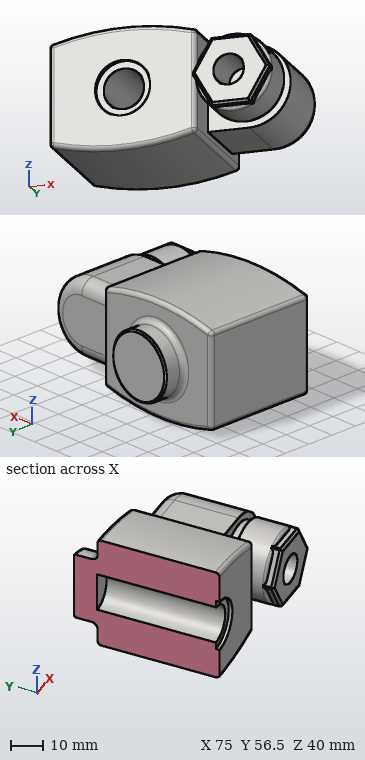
import cadquery as cq
import math

body_width = 48.0
body_depth = 42.0
body_height = 40.0
body_side_height = 33.15
body_fillet = 1.5

bore_diameter = 13.2
recess_diameter = 18.0
recess_depth = 1.3

boss_diameter = 24.0
boss_length = 8.0
boss_base_fillet = 2.0
boss_rim_chamfer = 0.6

housing_height = 27.0
housing_radius = housing_height / 2
housing_right = 75.0 - body_width / 2
housing_front = 11.55
housing_length = 27.0
housing_fillet = 5.0
axis_x = housing_right - housing_radius

neck_diameter = 22.0
neck_length = 3.1
gland_diameter = 25.0
gland_front = -3.75
gland_fillet = 1.0
hex_across_flats = 22.0
hex_across_corners = hex_across_flats / math.cos(math.radians(30))
hex_front = -6.45
hex_root_overlap = 1.0
hex_chamfer = 0.8
cable_hole_diameter = 10.0
cable_hole_offset = -0.5
cable_hole_depth = 15.0

selection_margin = 0.1


def cylinder_y(x, diameter, y_start, y_end):
    """Cylinder along Y, centred at (x, Z = 0)."""
    plane = cq.Plane(origin=(x, y_start, 0), xDir=(1, 0, 0), normal=(0, 1, 0))
    return cq.Workplane(plane).circle(diameter / 2).extrude(y_end - y_start)


def make_body():
    """Barrel-shaped block with rounded edges and a boss on the back."""
    half_width = body_width / 2
    half_side = body_side_height / 2
    half_height = body_height / 2
    block = (
        cq.Workplane("XZ")
        .moveTo(-half_width, -half_side)
        .threePointArc((0, -half_height), (half_width, -half_side))
        .lineTo(half_width, half_side)
        .threePointArc((0, half_height), (-half_width, half_side))
        .close()
        .extrude(-body_depth)
        .edges()
        .fillet(body_fillet)
    )
    boss_back = body_depth + boss_length
    boss = cylinder_y(0, boss_diameter, body_depth / 2, boss_back)
    boss = boss.faces(">Y").chamfer(boss_rim_chamfer)
    body = block.union(boss)
    base_edge = cq.selectors.BoxSelector(
        (-boss_diameter, body_depth - selection_margin, -boss_diameter),
        (boss_diameter, body_depth + selection_margin, boss_diameter),
    )
    return body.edges("%CIRCLE").edges(base_edge).fillet(boss_base_fillet)


def make_housing():
    """Housing with a half-round outer end and a rounded back edge."""
    housing = (
        cq.Workplane("XZ", origin=(0, housing_front, 0))
        .moveTo(0, -housing_radius)
        .lineTo(axis_x, -housing_radius)
        .threePointArc((housing_right, 0), (axis_x, housing_radius))
        .lineTo(0, housing_radius)
        .close()
        .extrude(-housing_length)
    )
    rounded_edges = housing.faces(">Y").edges("not(<X)")
    return rounded_edges.fillet(housing_fillet)


def make_gland():
    """Neck, round collar and chamfered hexagonal end."""
    gland_back = housing_front - neck_length
    neck = cylinder_y(axis_x, neck_diameter, gland_back, housing_front)
    collar = cylinder_y(axis_x, gland_diameter, gland_front, gland_back)
    collar = collar.faces("<Y").edges().fillet(gland_fillet)
    hex_back = gland_front + hex_root_overlap
    hexagon = (
        cq.Workplane("XZ", origin=(axis_x, hex_back, 0))
        .polygon(6, hex_across_corners)
        .extrude(hex_back - hex_front)
        .faces("<Y")
        .chamfer(hex_chamfer)
    )
    hexagon = hexagon.intersect(cylinder_y(axis_x, gland_diameter, hex_front, hex_back))
    return neck.union(collar).union(hexagon)


result = make_body().union(make_housing()).union(make_gland())
result = result.cut(cylinder_y(0, recess_diameter, 0, recess_depth))
result = result.cut(cylinder_y(0, bore_diameter, 0, body_depth))
cable_hole_x = axis_x + cable_hole_offset
cable_hole_back = hex_front + cable_hole_depth
result = result.cut(cylinder_y(cable_hole_x, cable_hole_diameter, hex_front, cable_hole_back))